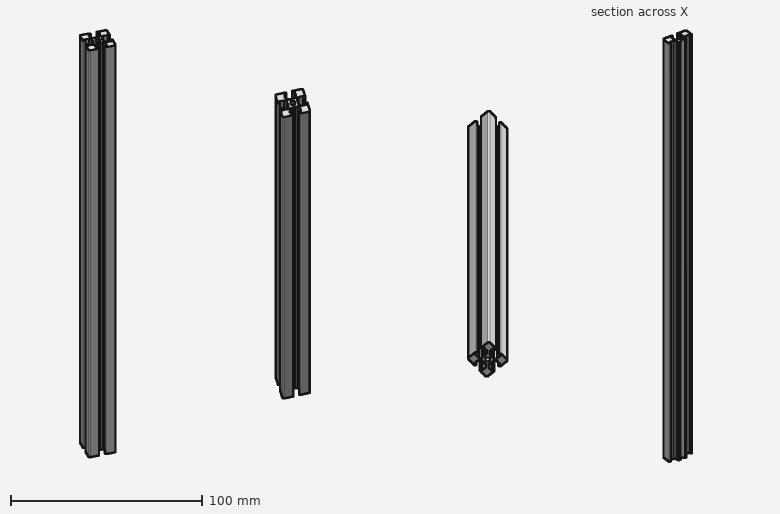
import cadquery as cq

length = 258.0
side = 15.0
corner_radius = 0.88
bore_diameter = 2.5

opening_width = 3.4
lip_radius = 0.3
lip_thickness = 1.15
cavity_width = 5.7
core_width = 5.7
floor_chamfer = 1.0

groove_width = 1.0
groove_depth = 0.3

outer_face = side / 2
lip_back = outer_face - lip_thickness
slot_floor = core_width / 2


def slot_cutter(angle):
    """T-slot void with its V-groove, opening toward +X before it is turned about Z."""
    half_profile = [
        (outer_face, opening_width / 2),
        (lip_back, opening_width / 2),
        (lip_back, cavity_width / 2),
        (slot_floor + floor_chamfer, cavity_width / 2),
        (slot_floor, cavity_width / 2 - floor_chamfer),
        (slot_floor, groove_width / 2),
    ]
    groove_bottom = (slot_floor - groove_depth, 0)
    mirrored_half = [(x, -y) for x, y in reversed(half_profile)]
    outline = half_profile + [groove_bottom] + mirrored_half
    void = cq.Workplane("XY").polyline(outline).close().extrude(length)
    return void.rotate((0, 0, 0), (0, 0, 1), angle)


result = cq.Workplane("XY").rect(side, side).extrude(length)
result = result.edges("|Z").fillet(corner_radius)

for slot_angle in (0, 90, 180, 270):
    result = result.cut(slot_cutter(slot_angle))

half_opening = opening_width / 2
reach = lip_radius / 2
for direction in (-1, 1):
    face_position = direction * outer_face
    front_or_back_lips = cq.selectors.BoxSelector(
        (-half_opening - reach, face_position - reach, 0),
        (half_opening + reach, face_position + reach, length),
    )
    side_lips = cq.selectors.BoxSelector(
        (face_position - reach, -half_opening - reach, 0),
        (face_position + reach, half_opening + reach, length),
    )
    result = result.edges("|Z").edges(front_or_back_lips + side_lips).fillet(lip_radius)

result = result.faces(">Z").workplane(origin=(0, 0, length)).hole(bore_diameter)